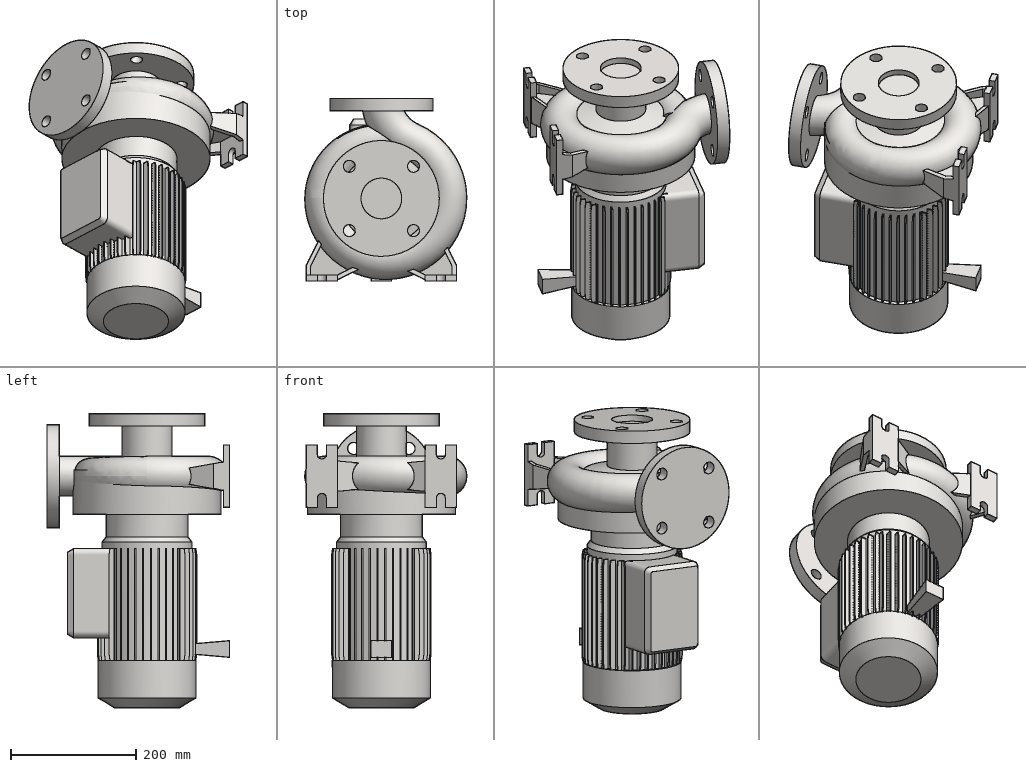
import cadquery as cq
import math


SUCTION_FACE_Z = 100
CASING_RIM_Z = 10
CASING_BOTTOM_Z = -61
ADAPTER_BOTTOM_Z = -97
MOTOR_SHOULDER_Z = -105.5
FINS_TOP_Z = -115.5
COWL_TOP_Z = -294
COWL_BEVEL_Z = -354
MOTOR_END_Z = -370

SUCTION_NECK_R = 40
CASING_R = 118.5
ADAPTER_R = 65.5
MOTOR_CORE_R = 72
COWL_R = 78.5
COWL_END_R = 52

FLANGE_T = 20
FLANGE_HOLE_D = 19
FLANGE_HOLES = 4
SUCTION_FLANGE_D = 185
SUCTION_BOLT_CIRCLE_D = 145
SUCTION_BORE_D = 65
SUCTION_BORE_DEPTH = 10
DISCHARGE_FLANGE_D = 165
DISCHARGE_BOLT_CIRCLE_D = 125
DISCHARGE_FACE_Y = 160

CASING_COVER_Z = 25

TUBE_R = 32
VOLUTE_R = 97.5
VOLUTE_CENTRE_X = 7
TAPER_R = 89.5
TAPER_SWEEP_DEG = 115
TAPER_END_TUBE_R = 28

FIN_COUNT = 40
FIN_T = 2
FIN_R = 79.7
FIN_BEVEL_INSET = 1.4
FIN_BEVEL_LENGTH = 10
FIN_ROOT_DEPTH = 6

BOX_WIDTH = 101
BOX_INNER_Y = 50
BOX_OUTER_Y = 127
BOX_HEIGHT = 143
BOX_CORNER_R = 10
BOX_BEVEL_DEPTH = 10
BOX_BEVEL_INSET = 6

MOUNT_FACE_Y = -132
LUG_WIDTH = 33
LUG_HEIGHT = 27
LUG_CENTRE_Z = -276
LUG_LENGTH = 65
LUG_DRAFT_DEG = 5

FOOT_X = 95
FOOT_WIDTH = 50
FOOT_HEIGHT = 100
FOOT_T = 10
FOOT_SLOT_WIDTH = 14
FOOT_SLOT_DEPTH = 22.5
WEB_T = 7
WEB_SIDE_LENGTH = 15.5
WEB_RUN = 30
WEB_FRONT_SETBACK = 2
WEB_FLOOR_T = 8
WEB_ROOT_HEIGHT = 49
WEB_TAPER_DEG = 10


def bolted_flange(face, diameter, bolt_circle_d):
    """Flange disc whose outer face lies on the workplane and which extends behind it."""
    disc = face.circle(diameter / 2).extrude(-FLANGE_T)
    bolt_holes = (
        face.polarArray(bolt_circle_d / 2, 45, 360, FLANGE_HOLES)
        .circle(FLANGE_HOLE_D / 2)
        .extrude(-FLANGE_T)
    )
    return disc.cut(bolt_holes)


def turned_body():
    """Suction neck, casing, adapter, motor core and fan cowl as one turned profile."""
    profile = [
        (0, SUCTION_FACE_Z - FLANGE_T),
        (SUCTION_NECK_R, SUCTION_FACE_Z - FLANGE_T),
        (SUCTION_NECK_R, CASING_COVER_Z),
        (CASING_R, CASING_RIM_Z),
        (CASING_R, CASING_BOTTOM_Z),
        (ADAPTER_R, CASING_BOTTOM_Z),
        (ADAPTER_R, ADAPTER_BOTTOM_Z),
        (MOTOR_CORE_R, MOTOR_SHOULDER_Z),
        (MOTOR_CORE_R, COWL_TOP_Z),
        (COWL_R, COWL_TOP_Z),
        (COWL_R, COWL_BEVEL_Z),
        (COWL_END_R, MOTOR_END_Z),
        (0, MOTOR_END_Z),
    ]
    return cq.Workplane("XZ").polyline(profile).close().revolve(360, (0, 0), (0, 1))


def suction_flange():
    face = cq.Workplane("XY", origin=(0, 0, SUCTION_FACE_Z))
    flange = bolted_flange(face, SUCTION_FLANGE_D, SUCTION_BOLT_CIRCLE_D)
    bore = face.circle(SUCTION_BORE_D / 2).extrude(-SUCTION_BORE_DEPTH)
    return flange.cut(bore)


def discharge_flange():
    face = cq.Workplane("XZ", origin=(0, DISCHARGE_FACE_Y, 0)).workplane(invert=True)
    return bolted_flange(face, DISCHARGE_FLANGE_D, DISCHARGE_BOLT_CIRCLE_D)


def arc_point(centre_x, centre_y, radius, angle):
    return (centre_x + radius * math.cos(angle), centre_y + radius * math.sin(angle))


def tube_section(centre, outward_angle, radius):
    """Circle standing upright in the radial plane that points along the given angle."""
    outward = (math.cos(outward_angle), math.sin(outward_angle), 0)
    heading = (math.sin(outward_angle), -math.cos(outward_angle), 0)
    return cq.Workplane(cq.Plane((*centre, 0), outward, heading)).circle(radius)


def volute_tube():
    """Round tube from the -X side past -Y and +X, then bending back into the discharge axis."""
    start_x = VOLUTE_CENTRE_X + VOLUTE_R
    radii_sum = (start_x**2 + DISCHARGE_FACE_Y**2) / (2 * start_x)
    bend_r = radii_sum - VOLUTE_R
    joint_angle = math.asin(DISCHARGE_FACE_Y / radii_sum)

    volute_start = (VOLUTE_CENTRE_X - VOLUTE_R, 0)
    volute_mid = arc_point(VOLUTE_CENTRE_X, 0, VOLUTE_R, (joint_angle - math.pi) / 2)
    joint = arc_point(VOLUTE_CENTRE_X, 0, VOLUTE_R, joint_angle)
    bend_mid = arc_point(bend_r, DISCHARGE_FACE_Y, bend_r, math.pi + joint_angle / 2)
    path = (
        cq.Workplane("XY")
        .moveTo(*volute_start)
        .threePointArc(volute_mid, joint)
        .threePointArc(bend_mid, (0, DISCHARGE_FACE_Y))
    )
    return tube_section(volute_start, math.pi, TUBE_R).sweep(path)


def volute_taper():
    """Narrowing start of the volute, from the -X side round to the inside of the discharge bend."""
    start_x = VOLUTE_CENTRE_X - VOLUTE_R
    centre_x = start_x + TAPER_R
    sweep_angle = math.radians(TAPER_SWEEP_DEG)
    mid = arc_point(centre_x, 0, TAPER_R, math.pi - sweep_angle / 2)
    end = arc_point(centre_x, 0, TAPER_R, math.pi - sweep_angle)
    path = cq.Workplane("XY").moveTo(start_x, 0).threePointArc(mid, end)
    sections = tube_section((start_x, 0), math.pi, TUBE_R).add(
        tube_section(end, math.pi - sweep_angle, TAPER_END_TUBE_R)
    )
    return sections.toPending().sweep(path, multisection=True)


def cooling_fin(offset):
    """One fin pointing along +X at the given distance from the X axis, with bevelled tip corners."""
    root = math.sqrt(MOTOR_CORE_R**2 - offset**2) - FIN_ROOT_DEPTH
    tip = math.sqrt(FIN_R**2 - offset**2)
    outline_points = [
        (root, FINS_TOP_Z),
        (tip - FIN_BEVEL_INSET, FINS_TOP_Z),
        (tip, FINS_TOP_Z - FIN_BEVEL_LENGTH),
        (tip, COWL_TOP_Z + FIN_BEVEL_LENGTH),
        (tip - FIN_BEVEL_INSET, COWL_TOP_Z),
        (root, COWL_TOP_Z),
    ]
    outline = cq.Workplane("XZ", origin=(0, offset, 0)).polyline(outline_points).close()
    return outline.extrude(FIN_T / 2, both=True)


def cooling_fins():
    """Four groups of fins, one per side of the motor; the fins of a group are parallel."""
    per_side = FIN_COUNT // 4
    pitch = 2 * math.pi / FIN_COUNT
    fins = cq.Workplane("XY")
    for index in range(per_side):
        angle = (index - (per_side - 1) / 2) * pitch
        fin = cooling_fin(FIN_R * math.sin(angle))
        for side in range(4):
            fins = fins.add(fin.rotate((0, 0, 0), (0, 0, 1), 90 * side))
    return fins.combine()


def terminal_box():
    """Box with rounded sides and a bevelled outer end."""
    straight_end_y = BOX_OUTER_Y - BOX_BEVEL_DEPTH
    bevel_angle = math.degrees(math.atan2(BOX_BEVEL_INSET, BOX_BEVEL_DEPTH))
    return (
        cq.Workplane("XZ", origin=(0, BOX_INNER_Y, FINS_TOP_Z - BOX_HEIGHT / 2))
        .rect(BOX_WIDTH, BOX_HEIGHT)
        .extrude(BOX_INNER_Y - straight_end_y)
        .edges("|Y")
        .fillet(BOX_CORNER_R)
        .faces(">Y")
        .wires()
        .toPending()
        .extrude(-BOX_BEVEL_DEPTH, taper=bevel_angle)
    )


def support_lug():
    """Block that narrows from the mounting face towards the motor."""
    return (
        cq.Workplane("XZ", origin=(0, MOUNT_FACE_Y, LUG_CENTRE_Z))
        .rect(LUG_WIDTH, LUG_HEIGHT)
        .extrude(-LUG_LENGTH, taper=LUG_DRAFT_DEG)
    )


def foot_plate():
    plate = (
        cq.Workplane("XZ", origin=(FOOT_X, MOUNT_FACE_Y, 0))
        .rect(FOOT_WIDTH, FOOT_HEIGHT)
        .extrude(-FOOT_T)
    )
    slots = (
        cq.Workplane("XZ", origin=(FOOT_X, MOUNT_FACE_Y, 0))
        .pushPoints([(0, FOOT_HEIGHT / 2), (0, -FOOT_HEIGHT / 2)])
        .slot2D(2 * FOOT_SLOT_DEPTH, FOOT_SLOT_WIDTH, 90)
        .extrude(-FOOT_T)
    )
    return plate.cut(slots)


def bracket_outline():
    """Plan outline of one foot bracket, from the foot plate to inside the volute."""
    outer_x = FOOT_X + FOOT_WIDTH / 2
    inner_x = FOOT_X - FOOT_WIDTH / 2
    back_y = MOUNT_FACE_Y + FOOT_T
    kink_y = back_y + WEB_SIDE_LENGTH
    front_y = MOUNT_FACE_Y + WEB_FRONT_SETBACK
    outline_points = [
        (inner_x, front_y),
        (outer_x, front_y),
        (outer_x, kink_y),
        (outer_x - WEB_RUN, kink_y + 2 * WEB_RUN),
        (inner_x - 2 * WEB_RUN, front_y + WEB_RUN),
    ]
    return cq.Workplane("XY").polyline(outline_points).close()


def foot_bracket():
    """Two webs joined by a flat floor at z = 0, becoming lower towards the casing."""
    full = bracket_outline().extrude(WEB_ROOT_HEIGHT / 2, both=True)
    hollow = bracket_outline().offset2D(-WEB_T).extrude(WEB_ROOT_HEIGHT / 2, both=True)
    floor = bracket_outline().extrude(WEB_FLOOR_T / 2, both=True)

    reach = -MOUNT_FACE_Y
    root_half = WEB_ROOT_HEIGHT / 2
    tip_half = root_half - reach * math.tan(math.radians(WEB_TAPER_DEG))
    wedge = (
        cq.Workplane("YZ")
        .polyline([(MOUNT_FACE_Y, -root_half), (0, -tip_half), (0, tip_half), (MOUNT_FACE_Y, root_half)])
        .close()
        .extrude(FOOT_X + FOOT_WIDTH / 2)
    )
    return full.cut(hollow).union(floor).intersect(wedge)


def wall_feet():
    foot = foot_plate().union(foot_bracket())
    return foot.union(foot.mirror("YZ"))


result = (
    turned_body()
    .union(suction_flange())
    .union(volute_tube())
    .union(volute_taper())
    .union(discharge_flange())
    .union(cooling_fins())
    .union(terminal_box())
    .union(support_lug())
    .union(wall_feet())
)